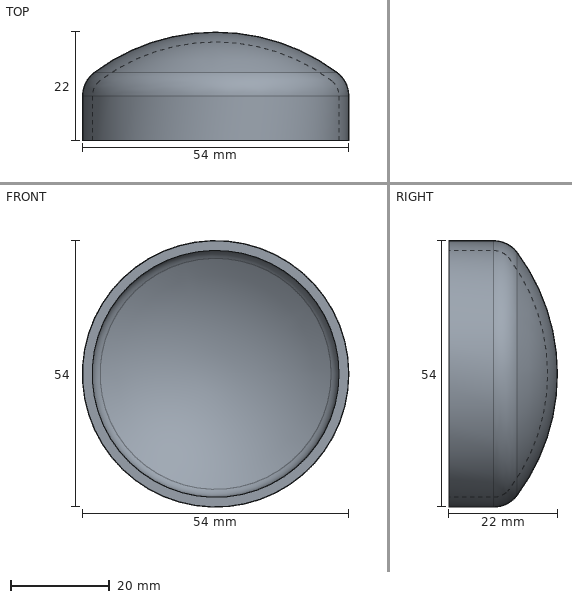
import cadquery as cq
import math

outer_radius = 27.0
height = 22.0
skirt_height = 9.0
shoulder_radius = 6.0
wall = 2.0

shoulder_center = outer_radius - shoulder_radius

crown_rise = height - skirt_height
dome_radius = (shoulder_center**2 + crown_rise**2 - shoulder_radius**2) / (2 * (crown_rise - shoulder_radius))
dome_center_y = height - dome_radius

joint_angle = math.atan2(shoulder_center, skirt_height - dome_center_y)


def arc_point(center_x, center_y, radius, angle):
    """Point on an arc, with the angle measured from the Y axis."""
    return (center_x + radius * math.sin(angle), center_y + radius * math.cos(angle))


def domed_solid(inset):
    """Solid bounded by the outer surface moved inwards by the inset."""
    shoulder = shoulder_radius - inset
    dome = dome_radius - inset
    shoulder_mid_angle = (math.pi / 2 + joint_angle) / 2
    shoulder_mid = arc_point(shoulder_center, skirt_height, shoulder, shoulder_mid_angle)
    joint = arc_point(shoulder_center, skirt_height, shoulder, joint_angle)
    dome_mid = arc_point(0, dome_center_y, dome, joint_angle / 2)
    profile = (
        cq.Workplane("XY")
        .lineTo(outer_radius - inset, 0)
        .lineTo(outer_radius - inset, skirt_height)
        .threePointArc(shoulder_mid, joint)
        .threePointArc(dome_mid, (0, height - inset))
        .close()
    )
    return profile.revolve(360, (0, 0, 0), (0, 1, 0))


result = domed_solid(0).cut(domed_solid(wall))